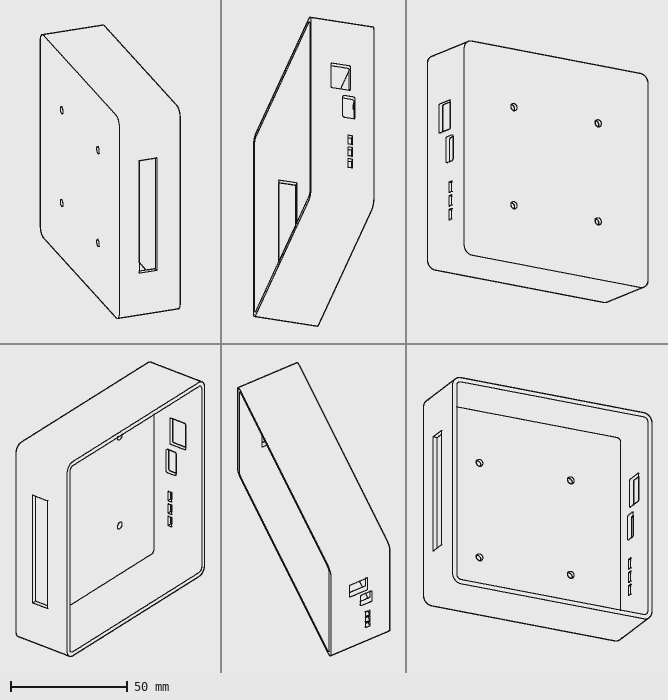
import cadquery as cq

side = 96.0
depth = 28.0
wall = 2.0
corner_radius = 4.0

hole_diameter = 3.2
hole_spacing = 44.0

large_port_center = (0.9, 17.1)
large_port_width = 8.5
large_port_height = 13.0
large_port_corner = 0.5

small_port_center = (-2.8, 1.7)
small_port_width = 5.6
small_port_height = 11.5
small_port_corner = 1.0

slot_count = 3
slot_width = 2.0
slot_height = 4.6
slot_pitch = 6.1
top_slot_center = (-3.5, -15.5)

window_center = (-0.8, 0.0)
window_width = 8.1
window_height = 53.2


def rounded_block(size, length, radius):
    """Square block centred on the Y axis, with its four Y edges rounded."""
    return cq.Workplane("XY").box(size, length, size).edges("|Y").fillet(radius)


def wall_cutter(wall_x, center, width, height):
    """Box reaching through a side wall whose middle plane is at wall_x."""
    center_y, center_z = center
    cutter = cq.Workplane("XY").box(2 * wall, width, height)
    return cutter.translate((wall_x, center_y, center_z))


def make_tray():
    outer = rounded_block(side, depth, corner_radius)
    cavity = rounded_block(side - 2 * wall, depth, corner_radius - wall)
    return outer.cut(cavity.translate((0, wall, 0)))


def mounting_holes():
    holes = cq.Workplane("XZ").rarray(hole_spacing, hole_spacing, 2, 2)
    return holes.circle(hole_diameter / 2).extrude(depth)


wall_middle_x = (side - wall) / 2

large_port = wall_cutter(-wall_middle_x, large_port_center, large_port_width, large_port_height)
large_port = large_port.edges("|X").fillet(large_port_corner)

small_port = wall_cutter(-wall_middle_x, small_port_center, small_port_width, small_port_height)
small_port = small_port.edges("|X").fillet(small_port_corner)

window = wall_cutter(wall_middle_x, window_center, window_width, window_height)

result = make_tray().cut(mounting_holes()).cut(large_port).cut(small_port).cut(window)

for index in range(slot_count):
    slot_y, top_z = top_slot_center
    slot_center = (slot_y, top_z - index * slot_pitch)
    result = result.cut(wall_cutter(-wall_middle_x, slot_center, slot_width, slot_height))